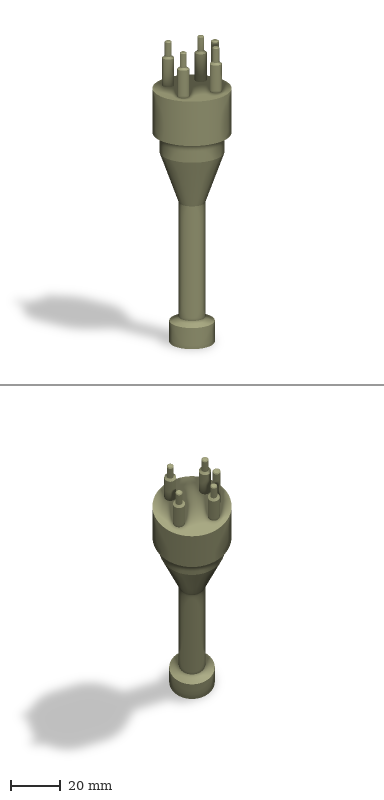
import cadquery as cq
import math

total_height = 127.0
foot_edge_z = 9.0
foot_top_z = 10.7
cone_bottom_z = 59.5
cone_top_z = 81.0
head_bottom_z = 89.2
head_top_z = 108.1

foot_diameter = 18.3
stem_diameter = 10.7
collar_diameter = 26.2
head_diameter = 31.8

pin_circle_radius = 10.2

shank_diameter = 4.8
tip_diameter = 2.8
shoulder_edge_z = 119.9
shoulder_top_z = 120.6
tip_bevel = 0.4

guide_diameter = 3.2
guide_bevel = 0.4


def make_housing():
    """Foot, stem, cone, collar and head turned as one solid about Z."""
    profile = (
        cq.Workplane("XZ")
        .lineTo(foot_diameter / 2, 0)
        .lineTo(foot_diameter / 2, foot_edge_z)
        .lineTo(stem_diameter / 2, foot_top_z)
        .lineTo(stem_diameter / 2, cone_bottom_z)
        .lineTo(collar_diameter / 2, cone_top_z)
        .lineTo(collar_diameter / 2, head_bottom_z)
        .lineTo(head_diameter / 2, head_bottom_z)
        .lineTo(head_diameter / 2, head_top_z)
        .lineTo(0, head_top_z)
        .close()
    )
    return profile.revolve(360, (0, 0, 0), (0, 1, 0))


def make_contact_pin(x, y):
    """Stepped contact pin standing on the head at (x, y)."""
    profile = (
        cq.Workplane("XZ")
        .moveTo(0, head_top_z)
        .lineTo(shank_diameter / 2, head_top_z)
        .lineTo(shank_diameter / 2, shoulder_edge_z)
        .lineTo(tip_diameter / 2, shoulder_top_z)
        .lineTo(tip_diameter / 2, total_height)
        .lineTo(0, total_height)
        .close()
    )
    pin = profile.revolve(360, (0, 0, 0), (0, 1, 0))
    return pin.faces(">Z").chamfer(tip_bevel).translate((x, y, 0))


def make_guide_pin():
    """Round pin on the +Y side that reaches the same height as the contacts."""
    rod = (
        cq.Workplane("XY", origin=(0, pin_circle_radius, head_top_z))
        .circle(guide_diameter / 2)
        .extrude(total_height - head_top_z)
    )
    return rod.faces(">Z").chamfer(guide_bevel)


housing = make_housing()
guide_pin = make_guide_pin()

contact_offset = pin_circle_radius / math.sqrt(2)
contact_pins = []
for x in (-contact_offset, contact_offset):
    for y in (-contact_offset, contact_offset):
        contact_pins.append(make_contact_pin(x, y).val())

result = cq.Compound.makeCompound([housing.val(), guide_pin.val(), *contact_pins])